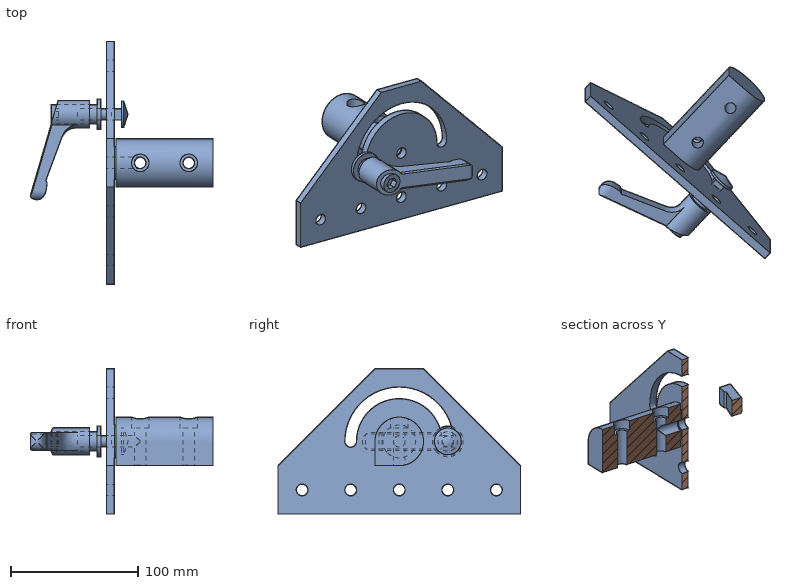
import cadquery as cq
import math


plate_width = 190.5
plate_height = 114.3
plate_thickness = 6.3
plate_corner_cut = 76.2
hole_diameter = 9.0
mount_hole_count = 5
mount_hole_pitch = 38.1
mount_hole_z = -38.1
slot_radius = 38.1
slot_width = hole_diameter

spacer_thickness = 1.1
spacer_diameter = 26.0

bar_length = 76.2
bar_radius = 19.0
bar_start = plate_thickness + spacer_thickness
bar_hole_diameter = 8.8
counterbore_diameter = 13.7
counterbore_depth = 8.4
bar_hole_pitch = 38.1
pivot_hole_depth = 19.0

clamp_y = slot_radius

bolt_diameter = slot_width
bolt_end_x = -22.9
neck_start_x = 3.8
head_x = 11.6
head_diameter = 21.0
head_rim = 2.0
head_height = 5.3

clamp_washer_diameter = 24.2
clamp_washer_back_x = -4.4
clamp_washer_thickness = 2.9

insert_diameter = 15.2
insert_front_x = -43.5
insert_back_x = clamp_washer_back_x - clamp_washer_thickness
hex_across_flats = 8.0
hex_depth = 5.7

hub_diameter = 21.7
hub_back_x = -13.1
front_tilt = math.radians(16.3)
lever_front_x = -41.1
blade_width = 14.3
blade_back_tilt = math.radians(20.4)
blade_back_x = -47.5
blade_back_y = -13.7
tip_x = -59.6
tip_y = -29.0
edge_bevel_depth = 0.8
edge_bevel_width = 1.3
hub_fillet = 11.0


def rod(diameter, start_x, end_x, y=0.0):
    """Cylinder parallel to X."""
    plane = cq.Workplane("YZ", origin=(start_x, y, 0))
    return plane.circle(diameter / 2).extrude(end_x - start_x)


def make_slot():
    """Half-ring slot with round ends, centred on the pivot."""
    outer = slot_radius + slot_width / 2
    inner = slot_radius - slot_width / 2
    return (
        cq.Workplane("YZ")
        .moveTo(outer, 0)
        .threePointArc((0, outer), (-outer, 0))
        .threePointArc((-slot_radius, -slot_width / 2), (-inner, 0))
        .threePointArc((0, inner), (inner, 0))
        .threePointArc((slot_radius, -slot_width / 2), (outer, 0))
        .close()
        .extrude(plate_thickness)
    )


def make_plate():
    half_width = plate_width / 2
    half_height = plate_height / 2
    shoulder_y = half_width - plate_corner_cut
    shoulder_z = half_height - plate_corner_cut
    plate = (
        cq.Workplane("YZ")
        .moveTo(-half_width, -half_height)
        .lineTo(half_width, -half_height)
        .lineTo(half_width, shoulder_z)
        .lineTo(shoulder_y, half_height)
        .lineTo(-shoulder_y, half_height)
        .lineTo(-half_width, shoulder_z)
        .close()
        .extrude(plate_thickness)
    )
    first_hole_y = -mount_hole_pitch * (mount_hole_count - 1) / 2
    hole_points = [(first_hole_y + i * mount_hole_pitch, mount_hole_z) for i in range(mount_hole_count)]
    pivot_point = (0, 0)
    hole_points.append(pivot_point)
    holes = cq.Workplane("YZ").pushPoints(hole_points).circle(hole_diameter / 2).extrude(plate_thickness)
    return plate.cut(holes).cut(make_slot())


def make_spacer():
    spacer = rod(spacer_diameter, plate_thickness, bar_start)
    return spacer.cut(rod(hole_diameter, plate_thickness, bar_start))


def bar_holes(diameter, depth):
    """Pair of vertical holes sunk from the top of the bar."""
    middle_x = bar_start + bar_length / 2
    points = [(middle_x - bar_hole_pitch / 2, 0), (middle_x + bar_hole_pitch / 2, 0)]
    top = cq.Workplane("XY", origin=(0, 0, bar_radius))
    return top.pushPoints(points).circle(diameter / 2).extrude(-depth)


def make_bar():
    diagonal = bar_radius * math.sqrt(0.5)
    bar = (
        cq.Workplane("YZ", origin=(bar_start, 0, 0))
        .moveTo(-bar_radius, -bar_radius)
        .lineTo(-bar_radius, 0)
        .threePointArc((diagonal, diagonal), (0, -bar_radius))
        .close()
        .extrude(bar_length)
    )
    bar = bar.cut(rod(hole_diameter, bar_start, bar_start + pivot_hole_depth))
    bar = bar.cut(bar_holes(bar_hole_diameter, 2 * bar_radius))
    return bar.cut(bar_holes(counterbore_diameter, counterbore_depth))


def make_bolt():
    shank = rod(bolt_diameter, bolt_end_x, head_x, clamp_y)
    neck = (
        cq.Workplane("YZ", origin=(neck_start_x, clamp_y, 0))
        .rect(bolt_diameter, bolt_diameter)
        .extrude(head_x - neck_start_x)
    )
    head = (
        cq.Workplane("XY", origin=(head_x, clamp_y, 0))
        .lineTo(0, head_diameter / 2)
        .lineTo(head_rim, head_diameter / 2)
        .lineTo(head_height, 0)
        .close()
        .revolve(360, (0, 0, 0), (1, 0, 0))
    )
    return shank.union(neck).union(head)


def make_clamp_washer():
    washer = rod(clamp_washer_diameter, insert_back_x, clamp_washer_back_x, clamp_y)
    return washer.cut(rod(bolt_diameter, insert_back_x, clamp_washer_back_x, clamp_y))


def make_insert():
    insert = rod(insert_diameter, insert_front_x, insert_back_x, clamp_y)
    socket = (
        cq.Workplane("YZ", origin=(insert_front_x, clamp_y, 0))
        .polygon(6, hex_across_flats / math.cos(math.pi / 6))
        .extrude(hex_depth)
    )
    return insert.cut(socket).cut(rod(bolt_diameter, bolt_end_x, insert_back_x, clamp_y))


def front_x(y):
    """X of the lever's sloping front face at a given Y."""
    return lever_front_x + (y - clamp_y) * math.tan(front_tilt)


def front_y(x):
    """Y of the lever's sloping front face at a given X."""
    return clamp_y + (x - lever_front_x) / math.tan(front_tilt)


def back_x(y):
    """X of the blade's sloping back face at a given Y."""
    return blade_back_x + (y - blade_back_y) * math.tan(blade_back_tilt)


def make_blade():
    """Sloping blade with bevelled front edges and a rounded tip."""
    half = blade_width / 2
    blade = (
        cq.Workplane("XY", origin=(0, 0, -half))
        .moveTo(front_x(clamp_y), clamp_y)
        .lineTo(tip_x, front_y(tip_x))
        .lineTo(tip_x, -26.7)
        .lineTo(-58.3, -27.8)
        .threePointArc((-54.3, tip_y), (-50.7, -27.6))
        .threePointArc((-48.5, -25.0), (-47.2, -21.7))
        .lineTo(-46.5, -16.0)
        .lineTo(blade_back_x, blade_back_y)
        .lineTo(back_x(clamp_y), clamp_y)
        .close()
        .extrude(blade_width)
    )
    front_face = cq.selectors.NearestToPointSelector((front_x(0), 0, 0))
    blade = blade.faces(front_face).edges("#Z").chamfer(edge_bevel_width, edge_bevel_depth)
    round_tip = (
        cq.Workplane("YZ", origin=(tip_x, 0, 0))
        .moveTo(clamp_y, half)
        .lineTo(tip_y + half, half)
        .threePointArc((tip_y, 0), (tip_y + half, -half))
        .lineTo(clamp_y, -half)
        .close()
        .extrude(hub_back_x - tip_x)
    )
    return blade.intersect(round_tip)


def make_hub():
    """Round hub whose front end is cut along the lever's sloping front face."""
    low_y = clamp_y - hub_diameter
    high_y = clamp_y + hub_diameter
    behind_front = (
        cq.Workplane("XY", origin=(0, 0, -hub_diameter))
        .moveTo(front_x(low_y), low_y)
        .lineTo(front_x(high_y), high_y)
        .lineTo(0, high_y)
        .lineTo(0, low_y)
        .close()
        .extrude(2 * hub_diameter)
    )
    return rod(hub_diameter, tip_x, hub_back_x, clamp_y).intersect(behind_front)


def make_lever():
    lever = make_hub().union(make_blade())
    corner_y = clamp_y - hub_diameter / 2
    inner_corner = cq.selectors.NearestToPointSelector((back_x(corner_y), corner_y, 0))
    lever = lever.edges(inner_corner).fillet(hub_fillet)
    return lever.cut(rod(insert_diameter, tip_x, hub_back_x, clamp_y))


plate = make_plate()
spacer = make_spacer()
bar = make_bar()
bolt = make_bolt()
clamp_washer = make_clamp_washer()
insert = make_insert()
lever = make_lever()

result = cq.Compound.makeCompound([
    plate.val(),
    spacer.val(),
    bar.val(),
    bolt.val(),
    clamp_washer.val(),
    insert.val(),
    lever.val(),
])